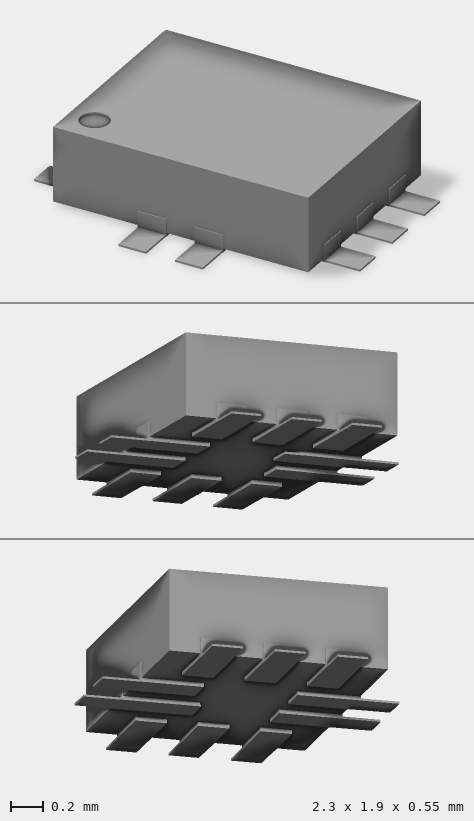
import cadquery as cq

body_length = 1.8
body_width = 1.4
total_height = 0.55
standoff = 0.025

span_x = 2.3
span_y = 1.9
terminal_width = 0.2
terminal_pitch = 2 * terminal_width
foot_width = 0.195
foot_thickness = 0.014
plate_thickness = 0.005
plate_height = 0.125
pad_length = 2 * terminal_width

pin_1_foot_length = 0.501
pin_1_pad_length = 0.495
pin_1_chamfer = terminal_width / 2

dimple_diameter = 0.2
dimple_depth = 0.02
dimple_x = -0.72
dimple_y = -0.501


def strip(x_start, x_end, width, height):
    """Box standing on the seating plane, centred on the X axis."""
    length = x_end - x_start
    return cq.Workplane("XY").box(length, width, height, centered=(False, True, False)).translate((x_start, 0, 0))


def make_terminal(span, body_size, foot_length, under_length, chamfer=0):
    """Terminal on the +X wall; the inner corner of its pad at -Y can be clipped."""
    wall = body_size / 2
    inner_end = wall - under_length
    foot = strip(wall - foot_length, span / 2, foot_width, foot_thickness)
    plate = strip(wall, wall + plate_thickness, terminal_width, plate_height)
    pad = strip(inner_end, wall, terminal_width, standoff)
    if chamfer:
        pad = pad.faces("<X").edges("<Y").chamfer(chamfer)
    return foot.union(plate).union(pad)


def make_body():
    body_height = total_height - standoff
    body = (
        cq.Workplane("XY")
        .workplane(offset=standoff)
        .box(body_length, body_width, body_height, centered=(True, True, False))
    )
    dimple = (
        cq.Workplane("XY", origin=(dimple_x, dimple_y, total_height - dimple_depth))
        .circle(dimple_diameter / 2)
        .extrude(dimple_depth)
    )
    return body.cut(dimple)


def turned(terminal, angle):
    """Turn a +X terminal about Z to face another wall."""
    return terminal.rotate((0, 0, 0), (0, 0, 1), angle)


side_terminal = make_terminal(span_x, body_length, pad_length, pad_length)
end_terminal = make_terminal(span_y, body_width, pad_length, pad_length)
pin_1_terminal = make_terminal(span_y, body_width, pin_1_foot_length, pin_1_pad_length, pin_1_chamfer)

result = make_body()

for row in (-1, 0, 1):
    y = row * terminal_pitch
    for angle in (0, 180):
        result = result.union(turned(side_terminal, angle).translate((0, y, 0)))

pin_offset = terminal_pitch / 2
result = result.union(turned(pin_1_terminal, -90).translate((-pin_offset, 0, 0)))
result = result.union(turned(end_terminal, -90).translate((pin_offset, 0, 0)))
for x in (-pin_offset, pin_offset):
    result = result.union(turned(end_terminal, 90).translate((x, 0, 0)))